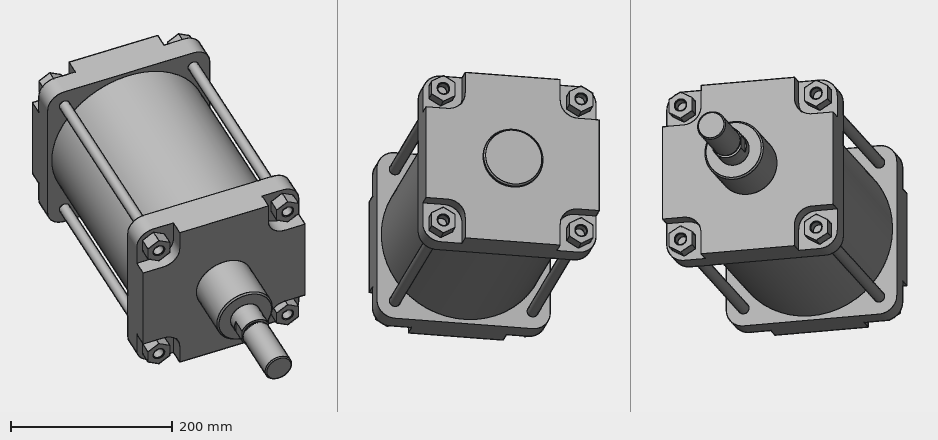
import cadquery as cq
import math

overall_length = 513.0
cap_side = 220.0
cap_thickness = 47.0
barrel_diameter = 209.5
barrel_length = 245.0

tie_rod_pitch = 175.0
tie_rod_offset = tie_rod_pitch / 2
cap_corner_radius = cap_side / 2 - tie_rod_offset
pocket_side = 50.0
pocket_depth = 19.5
pocket_radius = 22.5

collar_diameter = 75.5
collar_length = 64.5
collar_chamfer = 2.0
boss_height = 5.5
boss_chamfer = 2.0

tie_rod_diameter = 14.0
nut_across_flats = 30.0
nut_height = 17.0
nut_bore_depth = 13.0
nut_bore_chamfer = 1.0

rod_diameter = 40.0
flats_diameter = 39.5
flats_width = 36.0
shank_length = 10.5
shoulder_length = 1.5
flats_length = 19.0
neck_diameter = 33.0
neck_length = 2.5
thread_diameter = 36.0
thread_chamfer = 1.5

rear_cap_face = -overall_length / 2 + boss_height
rear_cap_inner = rear_cap_face + cap_thickness
front_cap_inner = rear_cap_inner + barrel_length
front_cap_face = front_cap_inner + cap_thickness
collar_end = front_cap_face + collar_length
shank_end = collar_end + shank_length
flats_start = shank_end + shoulder_length
flats_end = flats_start + flats_length
thread_start = flats_end + neck_length
rod_tip = overall_length / 2

corner_signs = [(y, z) for y in (-1, 1) for z in (-1, 1)]
tie_rod_centres = [(y * tie_rod_offset, z * tie_rod_offset) for y, z in corner_signs]


def cylinder(start, end, diameter):
    """Cylinder on the X axis from start to end."""
    return cq.Workplane("YZ", origin=(start, 0, 0)).circle(diameter / 2).extrude(end - start)


def make_cap_plate(inner_face, outer_face):
    """Square cap with rounded corners, a nut pocket in each corner and tie rod holes."""
    direction = math.copysign(1, outer_face - inner_face)
    plate = (
        cq.Workplane("YZ", origin=(inner_face, 0, 0))
        .rect(cap_side, cap_side)
        .extrude(direction * cap_thickness)
        .edges("|X")
        .fillet(cap_corner_radius)
    )
    corners = [(y * cap_side / 2, z * cap_side / 2) for y, z in corner_signs]
    pockets = (
        cq.Workplane("YZ", origin=(outer_face, 0, 0))
        .pushPoints(corners)
        .rect(2 * pocket_side, 2 * pocket_side)
        .extrude(-direction * pocket_depth)
        .edges("|X")
        .fillet(pocket_radius)
    )
    holes = (
        cq.Workplane("YZ", origin=(inner_face, 0, 0))
        .pushPoints(tie_rod_centres)
        .circle(tie_rod_diameter / 2)
        .extrude(direction * cap_thickness)
    )
    return plate.cut(pockets).cut(holes)


def make_rear_cap():
    """Cap closing the rear end, with a low chamfered boss."""
    boss = cylinder(-overall_length / 2, rear_cap_face, collar_diameter)
    boss = boss.faces("<X").chamfer(boss_chamfer)
    return make_cap_plate(rear_cap_inner, rear_cap_face).union(boss)


def make_front_cap():
    """Cap on the rod end, with a chamfered collar bored for the piston rod."""
    collar = cylinder(front_cap_face, collar_end, collar_diameter)
    collar = collar.faces(">X").chamfer(collar_chamfer)
    rod_bore = cylinder(front_cap_inner, collar_end, rod_diameter)
    return make_cap_plate(front_cap_inner, front_cap_face).union(collar).cut(rod_bore)


def make_barrel():
    """Cylinder barrel between the two caps."""
    return cylinder(rear_cap_inner, front_cap_inner, barrel_diameter)


def make_piston_rod():
    """Rod with a wrench flat on the +Y and -Y sides, a neck and a chamfered threaded end."""
    flats_middle = (flats_start + flats_end) / 2
    square = cq.Workplane("XY", origin=(flats_middle, 0, 0)).box(flats_length, flats_width, rod_diameter)
    shank = cylinder(front_cap_inner, shank_end, rod_diameter)
    shoulder = (
        cq.Workplane("YZ", origin=(shank_end, 0, 0))
        .circle(rod_diameter / 2)
        .workplane(offset=shoulder_length)
        .circle(flats_diameter / 2)
        .loft()
    )
    flats = cylinder(flats_start, flats_end, flats_diameter).intersect(square)
    neck = cylinder(flats_end, thread_start, neck_diameter)
    thread = cylinder(thread_start, rod_tip, thread_diameter).faces(">X").chamfer(thread_chamfer)
    return shank.union(shoulder).union(flats).union(neck).union(thread)


def make_nut(seat, direction):
    """Hexagonal nut, corners along Z, standing on a pocket floor, its bore chamfered at the mouth."""
    across_corners = nut_across_flats / math.cos(math.pi / 6)
    mouth_radius = tie_rod_diameter / 2 + nut_bore_chamfer
    nut = (
        cq.Workplane("YZ", origin=(seat, 0, 0))
        .transformed(rotate=(0, 0, 90))
        .polygon(6, across_corners)
        .extrude(direction * nut_height)
    )
    bore_profile = [
        (nut_height - nut_bore_depth, 0),
        (nut_height - nut_bore_depth, tie_rod_diameter / 2),
        (nut_height - nut_bore_chamfer, tie_rod_diameter / 2),
        (nut_height, mouth_radius),
        (nut_height, 0),
    ]
    bore = (
        cq.Workplane("XY", origin=(seat, 0, 0))
        .polyline([(direction * along, radius) for along, radius in bore_profile])
        .close()
        .revolve(360, (0, 0, 0), (1, 0, 0))
    )
    return nut.cut(bore)


def make_tie_rod(centre):
    """Tie rod with a nut at each end."""
    rear_seat = rear_cap_face + pocket_depth
    front_seat = front_cap_face - pocket_depth
    tie_rod = cylinder(rear_seat, front_seat, tie_rod_diameter)
    tie_rod = tie_rod.union(make_nut(rear_seat, -1)).union(make_nut(front_seat, 1))
    y, z = centre
    return tie_rod.translate((0, y, z))


rear_cap = make_rear_cap()
front_cap = make_front_cap()
barrel = make_barrel()
piston_rod = make_piston_rod()
tie_rods = [make_tie_rod(centre) for centre in tie_rod_centres]

result = cq.Compound.makeCompound(
    [
        rear_cap.val(),
        front_cap.val(),
        barrel.val(),
        piston_rod.val(),
        *[tie_rod.val() for tie_rod in tie_rods],
    ]
)